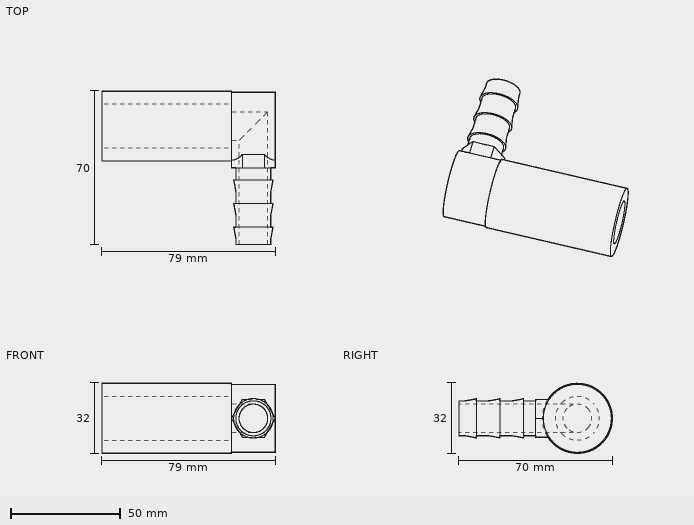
import cadquery as cq
import math

SLEEVE_DIAMETER = 32.0
SLEEVE_LENGTH = 59.0
SLEEVE_BORE = 20.0
ELBOW_DIAMETER = 31.0
ELBOW_LENGTH = 20.0
PASSAGE_DIAMETER = 13.0

TAIL_X = SLEEVE_LENGTH + ELBOW_LENGTH / 2
HEX_SIDES = 6
HEX_ACROSS_FLATS = 17.3
HEX_END = 19.0
TAIL_END = 54.0
TAIL_DIAMETER = 16.0
BARB_DIAMETER = 18.0
BARB_COUNT = 3
BARB_START = 24.5
BARB_LENGTH = 5.3
BARB_PITCH = 10.75


def rod_along_x(diameter, start, end):
    """Solid cylinder on the body axis from X = start to X = end."""
    return cq.Workplane("YZ", origin=(start, 0, 0)).circle(diameter / 2).extrude(end - start)


def tail_plane(distance):
    """Workplane facing -Y on the tail axis, at a distance from the body axis."""
    return cq.Workplane("XZ", origin=(TAIL_X, -distance, 0))


def rod_along_tail(diameter, start, end):
    """Solid cylinder on the tail axis between two distances from the body axis."""
    return tail_plane(start).circle(diameter / 2).extrude(end - start)


def make_body():
    sleeve = rod_along_x(SLEEVE_DIAMETER, 0, SLEEVE_LENGTH)
    elbow = rod_along_x(ELBOW_DIAMETER, SLEEVE_LENGTH, SLEEVE_LENGTH + ELBOW_LENGTH)
    return sleeve.union(elbow)


def make_barb(start):
    """Cone tapering from the barb diameter down to the tail diameter, towards the tail end."""
    return (
        tail_plane(start)
        .circle(BARB_DIAMETER / 2)
        .workplane(offset=BARB_LENGTH)
        .circle(TAIL_DIAMETER / 2)
        .loft(ruled=True)
    )


def make_hose_tail():
    """Hexagon with corners pointing along X, followed by the barbed tube."""
    across_corners = HEX_ACROSS_FLATS / math.cos(math.pi / HEX_SIDES)
    hexagon = tail_plane(0).polygon(HEX_SIDES, across_corners).extrude(HEX_END)
    tail = hexagon.union(rod_along_tail(TAIL_DIAMETER, 0, TAIL_END))
    for index in range(BARB_COUNT):
        tail = tail.union(make_barb(BARB_START + index * BARB_PITCH))
    return tail


def make_passage():
    """Sleeve bore leading into two equal bores that meet in a mitred right-angle corner."""
    radius = PASSAGE_DIAMETER / 2
    corner = rod_along_x(PASSAGE_DIAMETER, TAIL_X - radius, TAIL_X + radius).intersect(
        rod_along_tail(PASSAGE_DIAMETER, -radius, radius)
    )
    return (
        rod_along_x(PASSAGE_DIAMETER, 0, TAIL_X)
        .union(rod_along_tail(PASSAGE_DIAMETER, 0, TAIL_END))
        .union(corner)
        .union(rod_along_x(SLEEVE_BORE, 0, SLEEVE_LENGTH))
    )


result = make_body().union(make_hose_tail()).cut(make_passage())